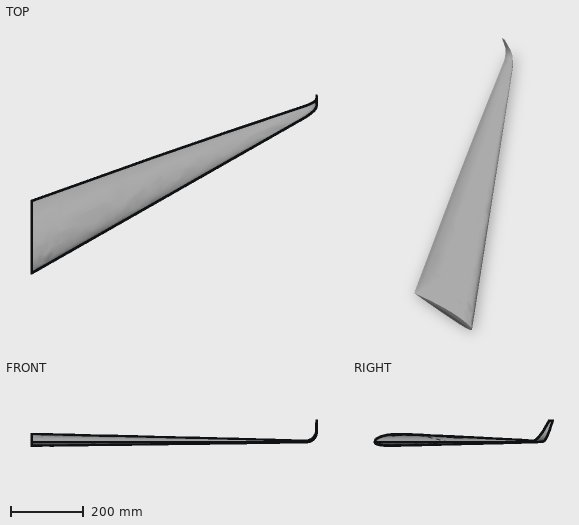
import cadquery as cq
import math

root_chord = 199.5
panel_span = 756.0
panel_tip_lead = 431.0
panel_tip_trail = 462.0
trailing_edge_bow = 3.0

bend_radius = 29.0
bend_end_lead = 464.0
bend_end_trail = 481.0
blade_tip_height = 58.0
blade_tip_lead = 480.0
blade_tip_trail = 490.0

thickness_ratio = 0.167
camber_ratio = 0.028
camber_position = 0.4
blade_thickness_ratio = 0.14
profile_steps = 14
bend_steps = 6


def camber(s):
    """Parabolic camber line height at chord fraction s."""
    if s < camber_position:
        return camber_ratio * (2 * camber_position * s - s**2) / camber_position**2
    aft = 1 - 2 * camber_position + 2 * camber_position * s - s**2
    return camber_ratio * aft / (1 - camber_position) ** 2


def half_thickness(s, ratio):
    """NACA four-digit half thickness with a closed trailing edge."""
    polynomial = -0.126 * s - 0.3516 * s**2 + 0.2843 * s**3 - 0.1036 * s**4
    return 5 * ratio * (0.2969 * math.sqrt(s) + polynomial)


def airfoil(x, z, lead, trail, ratio, bend_angle=0):
    """Closed airfoil wire in a plane across the span, tilted by bend_angle."""
    chord = trail - lead
    stations = [(1 - math.cos(math.pi * i / profile_steps)) / 2 for i in range(profile_steps + 1)]

    def surface(side):
        return [
            (lead + chord * s, chord * (camber(s) + side * half_thickness(s, ratio)))
            for s in stations
        ]

    span_direction = (math.cos(bend_angle), 0, math.sin(bend_angle))
    plane = cq.Plane(origin=(x, 0, z), xDir=(0, 1, 0), normal=span_direction)
    upper = surface(1)[::-1]
    lower = surface(-1)
    section = (
        cq.Workplane(plane)
        .moveTo(*upper[0])
        .spline(upper[1:], includeCurrent=True)
        .spline(lower[1:], includeCurrent=True)
    )
    return section.wire().val()


def blend(start, end, fraction):
    return start + (end - start) * fraction


def bend_section(fraction):
    """Airfoil at a fraction of the way round the winglet bend."""
    angle = math.pi / 2 * fraction
    return airfoil(
        panel_span + bend_radius * math.sin(angle),
        bend_radius * (1 - math.cos(angle)),
        blend(panel_tip_lead, bend_end_lead, fraction),
        blend(panel_tip_trail, bend_end_trail, fraction),
        blend(thickness_ratio, blade_thickness_ratio, fraction),
        angle,
    )


root = airfoil(0, 0, 0, root_chord, thickness_ratio)
panel_middle = airfoil(
    panel_span / 2,
    0,
    panel_tip_lead / 2,
    (root_chord + panel_tip_trail) / 2 + trailing_edge_bow,
    thickness_ratio,
)
panel_tip = bend_section(0)
bend_end = bend_section(1)
blade_tip = airfoil(
    panel_span + bend_radius,
    blade_tip_height,
    blade_tip_lead,
    blade_tip_trail,
    blade_thickness_ratio,
    math.pi / 2,
)

panel = cq.Solid.makeLoft([root, panel_middle, panel_tip])
bend = cq.Solid.makeLoft([bend_section(i / bend_steps) for i in range(bend_steps + 1)])
blade = cq.Solid.makeLoft([bend_end, blade_tip], True)

result = cq.Workplane(panel).union(cq.Workplane(bend)).union(cq.Workplane(blade))